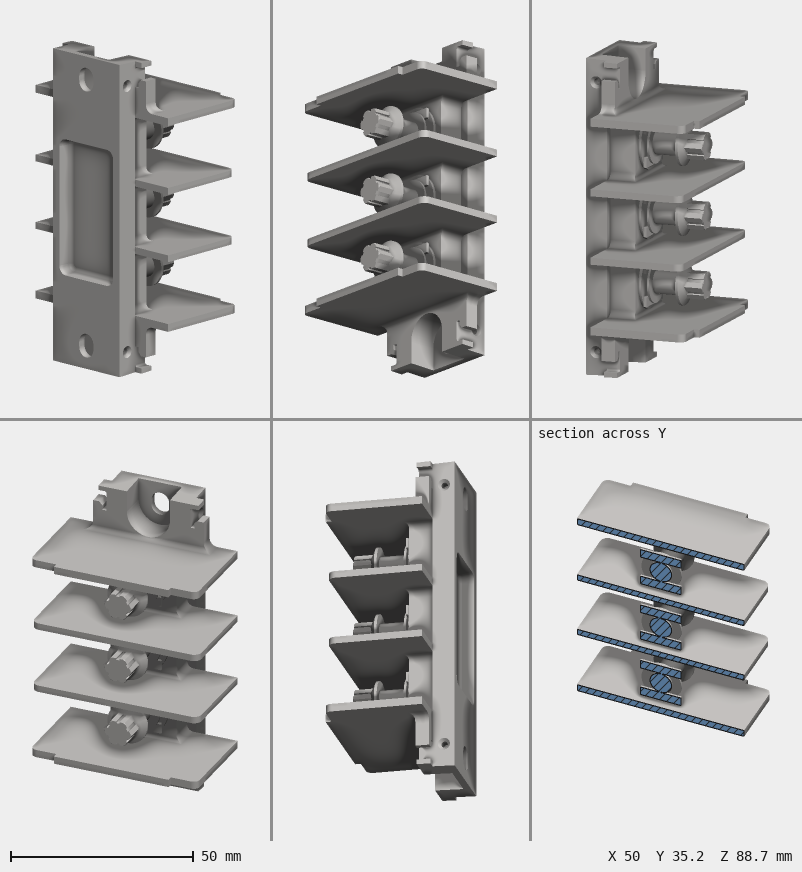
import cadquery as cq
import math

HEIGHT = 88.7
HALF_HEIGHT = HEIGHT / 2
BASE_HALF_WIDTH = 12.6
BASE_DEPTH = 6.2
END_DEPTH = 10.1
END_DRAFT = 0.35

FIN_WIDTH = 50.0
INNER_FIN_Z = (8.6, 10.55)
INNER_FIN_BACK = 32.8
INNER_FIN_RADIUS = 2.2
OUTER_FIN_Z = (28.1, 30.3)
OUTER_FIN_BACK = 33.6
OUTER_FIN_RADIUS = 1.9
TAB_WIDTH = 34.3
TAB_BACK = 35.2

BLOCK_HALF_WIDTH = 9.85
BLOCK_BACK = 13.5
BLOCK_SIDE_RADIUS = 1.95
BLOCK_BACK_RADIUS = 0.9

HOOK_HALF_WIDTH = 16.6
HOOK_THICKNESS = 2.75
HOOK_TOP = 39.2
HOOK_FLOOR = 36.8
HOOK_CHAMFER_WIDTH = 0.9
HOOK_CHAMFER_HEIGHT = 1.1
HOOK_SIDE_RADIUS = 2.4
HOOK_BACK_RADIUS = 1.3

EAR_HALF_WIDTH = 15.0
EAR_UNDERSIDE = 42.7
EAR_RADIUS = 0.6

MOUNT_Z = 37.8
SLOT_WIDTH = 5.3
SLOT_HEIGHT = 6.7
RECESS_RADIUS = 6.5
RECESS_FLOOR = 2.1
SIDE_HOLE_Y = 3.0
SIDE_HOLE_DIAMETER = 1.8
SIDE_HOLE_DEPTH = 3.55
COUNTERSINK_DIAMETER = 3.4

POCKET_WIDTH = 20.3
POCKET_HEIGHT = 38.7
POCKET_CORNER_RADIUS = 2.4
POCKET_DEPTH = 4.2
POCKET_DRAFT = 8.0
POCKET_FLOOR_RADIUS = 1.1

SCREW_PITCH = 19.5
WASHER_TOP = 14.3
WASHER_RADIUS = 7.6
CLAMP_STEP = 14.6
CLAMP_TOP = 15.35
CLAMP_WIDTH = 12.15
CLAMP_STEP_SETBACK = 0.35
CLAMP_WASHER_TOP = 16.0
CLAMP_WASHER_RADIUS = 5.9
SHANK_RADIUS = 3.3
FLANGE_BOTTOM = 23.6
FLANGE_RIM_TOP = 24.4
FLANGE_RADIUS = 5.9
FLANGE_TOP = 26.1
FLANGE_TOP_RADIUS = 3.2
HEAD_TOP = 30.8
HEAD_FLATS = 7.1
HEAD_GROOVE_WIDTH = 1.1
HEAD_GROOVE_DEPTH = 0.4
HEAD_CHAMFER = 0.3


def box(x_range, y_range, z_range):
    """Axis-aligned box between the given limits."""
    (x0, x1), (y0, y1), (z0, z1) = x_range, y_range, z_range
    return cq.Workplane("XY").box(x1 - x0, y1 - y0, z1 - z0, centered=False).translate((x0, y0, z0))


def both_sides(half):
    """The shape together with its mirror image across X = 0."""
    return half.union(half.mirror("YZ"))


def both_ends(half):
    """The shape together with its mirror image across Z = 0."""
    return half.union(half.mirror("XY"))


def cylinder(radius, y0, y1, z=0):
    """Cylinder along Y."""
    return cq.Workplane("XZ", origin=(0, y0, z)).circle(radius).extrude(y0 - y1)


def arc_middle(center, radius, degrees):
    """Point on an arc, at an angle from the first axis of its plane."""
    angle = math.radians(degrees)
    return (center[0] + radius * math.cos(angle), center[1] + radius * math.sin(angle))


def flared_outline(plane, start, face, z0, z1, radius):
    """Rectangle from start to face, flaring out with a concave arc at both z0 and z1."""
    tip = face + radius
    return (
        plane.moveTo(start, z0)
        .lineTo(tip, z0)
        .threePointArc(arc_middle((tip, z0 + radius), radius, 225), (face, z0 + radius))
        .lineTo(face, z1 - radius)
        .threePointArc(arc_middle((tip, z1 - radius), radius, 135), (tip, z1))
        .lineTo(start, z1)
        .close()
    )


def base_bar():
    """Front bar with slightly drafted end faces."""
    drop = END_DRAFT * BASE_DEPTH / END_DEPTH
    half = (
        cq.Workplane("YZ", origin=(-BASE_HALF_WIDTH, 0, 0))
        .polyline([(0, 0), (0, HALF_HEIGHT), (BASE_DEPTH, HALF_HEIGHT - drop), (BASE_DEPTH, 0)])
        .close()
        .extrude(2 * BASE_HALF_WIDTH)
    )
    return both_ends(half)


def fin(z_range, back, radius):
    """Plate with rounded back corners."""
    plate = box((-FIN_WIDTH / 2, FIN_WIDTH / 2), (BASE_DEPTH, back), z_range)
    return plate.edges("|Z and >Y").fillet(radius)


def outer_fin():
    tab = box((-TAB_WIDTH / 2, TAB_WIDTH / 2), (BASE_DEPTH, TAB_BACK), OUTER_FIN_Z)
    return fin(OUTER_FIN_Z, OUTER_FIN_BACK, OUTER_FIN_RADIUS).union(tab)


def block(z0, z1):
    """Block between two fins, filleted into them at its sides and back."""
    depth = BLOCK_BACK + BLOCK_BACK_RADIUS - BASE_DEPTH
    reach = BLOCK_HALF_WIDTH + BLOCK_SIDE_RADIUS
    side_plane = cq.Workplane("XZ", origin=(0, BASE_DEPTH, 0))
    sides = flared_outline(side_plane, 0, BLOCK_HALF_WIDTH, z0, z1, BLOCK_SIDE_RADIUS).extrude(-depth)
    back_plane = cq.Workplane("YZ", origin=(-reach, 0, 0))
    back = flared_outline(back_plane, BASE_DEPTH, BLOCK_BACK, z0, z1, BLOCK_BACK_RADIUS).extrude(2 * reach)
    return both_sides(sides).intersect(back)


def end_post():
    """Post beyond the outer fin with its hooks and ears, filleted into the fin."""
    root = OUTER_FIN_Z[1]
    hook_tip = HOOK_HALF_WIDTH + HOOK_SIDE_RADIUS
    hook_inner = HOOK_HALF_WIDTH - HOOK_THICKNESS
    ear_center = (BASE_HALF_WIDTH + EAR_RADIUS, EAR_UNDERSIDE - EAR_RADIUS)
    outline = (
        cq.Workplane("XZ", origin=(0, BASE_DEPTH, 0))
        .moveTo(0, root)
        .lineTo(hook_tip, root)
        .threePointArc(
            arc_middle((hook_tip, root + HOOK_SIDE_RADIUS), HOOK_SIDE_RADIUS, 225),
            (HOOK_HALF_WIDTH, root + HOOK_SIDE_RADIUS),
        )
        .lineTo(HOOK_HALF_WIDTH, HOOK_TOP)
        .lineTo(hook_inner + HOOK_CHAMFER_WIDTH, HOOK_TOP)
        .lineTo(hook_inner, HOOK_TOP - HOOK_CHAMFER_HEIGHT)
        .lineTo(hook_inner, HOOK_FLOOR)
        .lineTo(BASE_HALF_WIDTH, HOOK_FLOOR)
        .lineTo(BASE_HALF_WIDTH, ear_center[1])
        .threePointArc(arc_middle(ear_center, EAR_RADIUS, 135), (ear_center[0], EAR_UNDERSIDE))
        .lineTo(EAR_HALF_WIDTH, EAR_UNDERSIDE)
        .lineTo(EAR_HALF_WIDTH, HALF_HEIGHT)
        .lineTo(0, HALF_HEIGHT)
        .close()
    )
    sides = both_sides(outline.extrude(-(END_DEPTH + HOOK_BACK_RADIUS - BASE_DEPTH)))

    back_tip = END_DEPTH + HOOK_BACK_RADIUS
    back = (
        cq.Workplane("YZ", origin=(-hook_tip, 0, 0))
        .moveTo(0, root)
        .lineTo(back_tip, root)
        .threePointArc(
            arc_middle((back_tip, root + HOOK_BACK_RADIUS), HOOK_BACK_RADIUS, 225),
            (END_DEPTH, root + HOOK_BACK_RADIUS),
        )
        .lineTo(END_DEPTH, HALF_HEIGHT - END_DRAFT)
        .lineTo(0, HALF_HEIGHT)
        .close()
        .extrude(2 * hook_tip)
    )
    return sides.intersect(back)


def mounting_cut():
    """Slot, open-ended recess behind it and a blind countersunk hole in each side."""
    slot = (
        cq.Workplane("XZ", origin=(0, 0, MOUNT_Z))
        .slot2D(SLOT_HEIGHT, SLOT_WIDTH, 90)
        .extrude(-END_DEPTH)
    )
    recess_back = END_DEPTH + HOOK_BACK_RADIUS
    recess = cylinder(RECESS_RADIUS, RECESS_FLOOR, recess_back, MOUNT_Z).union(
        box((-RECESS_RADIUS, RECESS_RADIUS), (RECESS_FLOOR, recess_back), (MOUNT_Z, HALF_HEIGHT))
    )
    hole_radius = SIDE_HOLE_DIAMETER / 2
    sink_radius = COUNTERSINK_DIAMETER / 2
    sink_floor = BASE_HALF_WIDTH - (sink_radius - hole_radius)
    side_hole = (
        cq.Workplane("XY", origin=(0, SIDE_HOLE_Y, MOUNT_Z))
        .polyline([
            (BASE_HALF_WIDTH - SIDE_HOLE_DEPTH, 0),
            (BASE_HALF_WIDTH - SIDE_HOLE_DEPTH, hole_radius),
            (sink_floor, hole_radius),
            (BASE_HALF_WIDTH, sink_radius),
            (BASE_HALF_WIDTH, 0),
        ])
        .close()
        .revolve(360, (0, 0, 0), (1, 0, 0))
    )
    return slot.union(recess).union(both_sides(side_hole))


def front_pocket():
    """Drafted pocket with rounded corners and a filleted floor."""
    return (
        cq.Workplane("XZ")
        .sketch()
        .rect(POCKET_WIDTH, POCKET_HEIGHT)
        .vertices()
        .fillet(POCKET_CORNER_RADIUS)
        .finalize()
        .extrude(-POCKET_DEPTH, taper=POCKET_DRAFT)
        .faces(">Y")
        .edges()
        .fillet(POCKET_FLOOR_RADIUS)
    )


def screw_head():
    """Chamfered hexagon with a groove along the middle of each flat."""
    length = HEAD_TOP - FLANGE_BOTTOM
    corner_diameter = HEAD_FLATS / math.cos(math.radians(30))
    head = cq.Workplane("XZ", origin=(0, FLANGE_BOTTOM, 0)).polygon(6, corner_diameter).extrude(-length)
    envelope = cylinder(corner_diameter / 2, FLANGE_BOTTOM, HEAD_TOP).faces(">Y").chamfer(HEAD_CHAMFER)
    head = head.intersect(envelope)
    groove = box(
        (-HEAD_GROOVE_WIDTH / 2, HEAD_GROOVE_WIDTH / 2),
        (FLANGE_BOTTOM, HEAD_TOP),
        (HEAD_FLATS / 2 - HEAD_GROOVE_DEPTH, HEAD_FLATS),
    )
    for side in range(6):
        head = head.cut(groove.rotate((0, 0, 0), (0, 1, 0), 60 * side))
    return head


def clamp_plate(half_length, y0, y1):
    """Pair of plate legs along X, one on each side of the shank."""
    leg = box((-half_length, half_length), (y0, y1), (SHANK_RADIUS, CLAMP_WIDTH / 2))
    return both_ends(leg)


def screw():
    """Terminal screw along Y with its washers and stepped clamp plate."""
    flange = (
        cq.Workplane("XY")
        .polyline([
            (0, FLANGE_BOTTOM),
            (FLANGE_RADIUS, FLANGE_BOTTOM),
            (FLANGE_RADIUS, FLANGE_RIM_TOP),
            (FLANGE_TOP_RADIUS, FLANGE_TOP),
            (0, FLANGE_TOP),
        ])
        .close()
        .revolve(360, (0, 0, 0), (0, 1, 0))
    )
    return (
        cylinder(WASHER_RADIUS, BLOCK_BACK, WASHER_TOP)
        .union(cylinder(SHANK_RADIUS, BLOCK_BACK, FLANGE_BOTTOM))
        .union(clamp_plate(CLAMP_WIDTH / 2 - CLAMP_STEP_SETBACK, WASHER_TOP, CLAMP_STEP))
        .union(clamp_plate(CLAMP_WIDTH / 2, CLAMP_STEP, CLAMP_TOP))
        .union(cylinder(CLAMP_WASHER_RADIUS, CLAMP_TOP, CLAMP_WASHER_TOP))
        .union(flange)
        .union(screw_head())
    )


result = base_bar()
result = result.union(block(-INNER_FIN_Z[0], INNER_FIN_Z[0]))
end_parts = [
    fin(INNER_FIN_Z, INNER_FIN_BACK, INNER_FIN_RADIUS),
    outer_fin(),
    block(INNER_FIN_Z[1], OUTER_FIN_Z[0]),
    end_post(),
]
for part in end_parts:
    result = result.union(both_ends(part))

result = result.cut(both_ends(mounting_cut()))
result = result.cut(front_pocket())

for row in (-1, 0, 1):
    result = result.union(screw().translate((0, 0, row * SCREW_PITCH)))